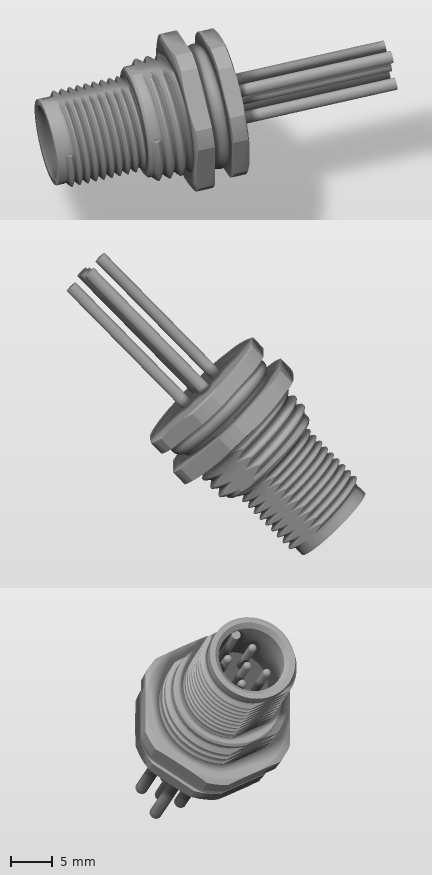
import cadquery as cq
import math


total_length = 43.0
rim_end = 1.0
plug_end = 11.05
nut_front = 16.25
nut_back = 18.5
thread_zone_end = 18.75
flange_front = 21.0
flange_back = 23.0

plug_root_radius = 5.3
rim_radius = 5.32
plug_crest_radius = 5.93
plug_pitch = 1.0
plug_thread_start = 1.58
plug_base_width = 0.85
plug_crest_width = 0.12
plug_flat_distance = 5.265

mount_root_radius = 6.84
neck_radius = 6.93
mount_crest_radius = 7.5
mount_pitch = 1.41
mount_thread_start = 12.0
mount_base_width = 1.2
mount_crest_width = 0.2
mount_flat_distance = 6.7
mount_lead_chamfer = 0.25

thread_start_angle = 30.0
flat_angle = 120.0
root_overlap = 0.2

hexagon_sides = 6
nut_across_flats = 18.0
nut_corner_radius = 9.74
nut_chamfer_radius = 9.06
nut_chamfer_length = 0.2
flange_across_flats = 17.0
flange_corner_radius = 9.02
flange_chamfer_radius = 8.62
flange_chamfer_length = 0.2

seal_tube_radius = 1.0
seal_outer_radius = 7.73

socket_radius = 4.08
socket_mouth_radius = 4.63
socket_mouth_depth = 0.55
socket_depth = 8.0
key_angle = 120.0
key_radius = 0.55
key_distance = 3.66
key_front = 0.8
pin_radius = 0.5
pin_front = 2.0
contact_circle_radius = 2.5
first_contact_angle = 75.0
outer_contacts = 4
wire_radius = 0.75
root_depth = 0.5


def polar(radius, angle):
    """X and Z of a point at a radius and angle about the axis."""
    turn = math.radians(angle)
    return radius * math.cos(turn), radius * math.sin(turn)


def turned(outline):
    """Solid of revolution about Y from (radius, y) points."""
    return cq.Workplane("XY").polyline(outline).close().revolve(360, (0, 0, 0), (0, 1, 0))


def rod(radius, front, back, centre=(0, 0)):
    """Round rod along Y at an (x, z) centre."""
    plane = cq.Workplane("XZ", origin=(0, front, 0))
    return plane.center(*centre).circle(radius).extrude(front - back)


def rounded_hexagon(across_flats, corner_radius, chamfer_radius, chamfer_length, face, far_face):
    """Hexagon with a corner up, its corners turned round and chamfered at one face."""
    corner_diameter = across_flats / math.cos(math.pi / hexagon_sides)
    plane = cq.Workplane("XZ", origin=(0, face, 0)).transformed(rotate=(0, 0, 180 / hexagon_sides))
    hexagon = plane.polygon(hexagon_sides, corner_diameter).extrude(face - far_face)
    inward = math.copysign(chamfer_length, far_face - face)
    limit = turned([
        (0, face),
        (chamfer_radius, face),
        (corner_radius, face + inward),
        (corner_radius, far_face),
        (0, far_face),
    ])
    return hexagon.intersect(limit)


def thread_ridge(root_radius, crest_radius, pitch, start, end, base_width, crest_width):
    """Right-hand helical ridge winding from y = start to y = end."""
    inner_radius = root_radius - root_overlap
    slope = (base_width - crest_width) / 2 / (crest_radius - root_radius)
    half_inner = base_width / 2 + slope * root_overlap
    half_crest = crest_width / 2
    helix = cq.Wire.makeHelix(pitch, end - start, inner_radius)
    profile = cq.Workplane("XZ").polyline([
        (inner_radius, -half_inner),
        (crest_radius, -half_crest),
        (crest_radius, half_crest),
        (inner_radius, half_inner),
    ]).close()
    ridge = profile.sweep(cq.Workplane(helix), isFrenet=True)
    ridge = ridge.rotate((0, 0, 0), (1, 0, 0), -90)
    ridge = ridge.rotate((0, 0, 0), (0, 1, 0), -thread_start_angle)
    return ridge.translate((0, start, 0))


def between_flats(body, flat_distance, front, back):
    """Trim a body to two parallel flats from y = front to y = back."""
    width = 4 * mount_crest_radius
    slab = cq.Workplane("XY").box(2 * flat_distance, back - front, width, centered=(True, False, True))
    slab = slab.rotate((0, 0, 0), (0, 1, 0), -flat_angle).translate((0, front, 0))
    return body.intersect(slab)


def threaded_plug():
    """Solid plug with its thread, flats and plain rim."""
    core = rod(plug_root_radius, rim_end, plug_end + plug_pitch)
    ridge = thread_ridge(
        plug_root_radius, plug_crest_radius, plug_pitch, plug_thread_start,
        plug_end + plug_pitch / 2, plug_base_width, plug_crest_width,
    )
    plug = between_flats(core.union(ridge), plug_flat_distance, rim_end, plug_end + plug_pitch)
    return plug.union(rod(rim_radius, 0, rim_end))


def threaded_mount():
    """Solid mounting body with its thread, flats and rear collar."""
    core = turned([
        (0, plug_end),
        (mount_root_radius - mount_lead_chamfer, plug_end),
        (mount_root_radius, plug_end + mount_lead_chamfer),
        (mount_root_radius, thread_zone_end),
        (0, thread_zone_end),
    ])
    ridge = thread_ridge(
        mount_root_radius, mount_crest_radius, mount_pitch, mount_thread_start,
        thread_zone_end - mount_base_width / 2, mount_base_width, mount_crest_width,
    )
    threaded = between_flats(core.union(ridge), mount_flat_distance, plug_end, thread_zone_end)
    return threaded.union(rod(neck_radius, thread_zone_end, flange_front))


def sealing_ring():
    ring_radius = seal_outer_radius - seal_tube_radius
    centre_y = flange_front - seal_tube_radius
    plane = cq.Workplane("XY", origin=(ring_radius, centre_y, 0)).transformed(rotate=(0, 0, 180))
    return plane.circle(seal_tube_radius).revolve(360, (ring_radius, 0, 0), (ring_radius, 1, 0))


def socket():
    """Space inside the plug: a flared bore with the key rib left standing."""
    bore = turned([
        (0, 0),
        (socket_mouth_radius, 0),
        (socket_radius, socket_mouth_depth),
        (socket_radius, socket_depth),
        (0, socket_depth),
    ])
    return bore.cut(rod(key_radius, key_front, socket_depth, polar(key_distance, key_angle)))


def contact_positions():
    """(x, z) centres shared by the pins and the wires: one central, the rest on a circle."""
    ring = [
        polar(contact_circle_radius, first_contact_angle + i * 360 / outer_contacts)
        for i in range(outer_contacts)
    ]
    return [(0, 0)] + ring


def pin(centre):
    """Contact pin with a hemispherical tip."""
    shape = rod(pin_radius, pin_front + pin_radius, socket_depth + root_depth, centre)
    x, z = centre
    tip = cq.Workplane("XY").sphere(pin_radius).translate((x, pin_front + pin_radius, z))
    return shape.union(tip)


nut = rounded_hexagon(
    nut_across_flats, nut_corner_radius, nut_chamfer_radius, nut_chamfer_length,
    nut_front, nut_back,
)
flange = rounded_hexagon(
    flange_across_flats, flange_corner_radius, flange_chamfer_radius, flange_chamfer_length,
    flange_back, flange_front,
)

result = threaded_mount().union(threaded_plug()).union(nut).union(sealing_ring()).union(flange)
result = result.cut(socket())
for position in contact_positions():
    result = result.union(pin(position))
    result = result.union(rod(wire_radius, flange_back - root_depth, total_length, position))